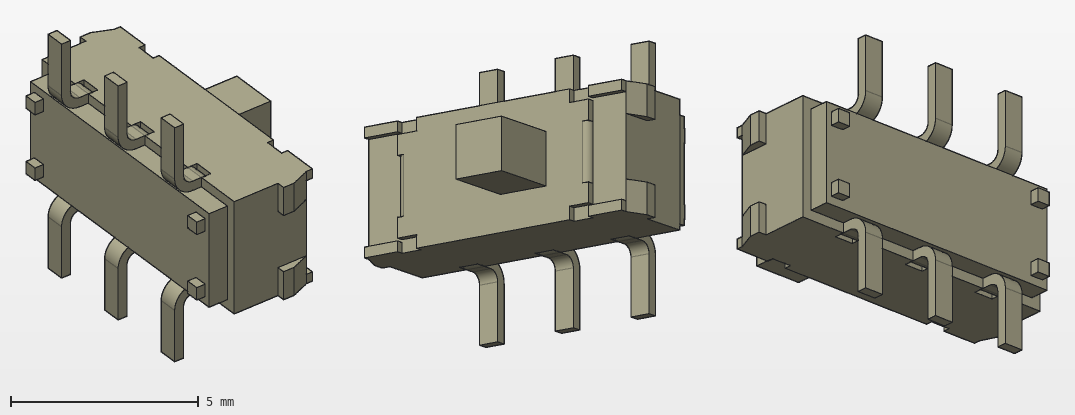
import cadquery as cq
import math


body_length = 8.5
body_height = 3.6
body_front_y = 0.89
body_back_y = 3.5
lip_thickness = 0.2
deck_y = body_back_y - lip_thickness

cover_length = 7.9
cover_height = 3.0
cover_front_y = 0.28
stud_size = 0.4
stud_pitch_x = 7.15
stud_pitch_z = 2.1

knob_x = -1.0
knob_width = 1.5
knob_reach = 2.0

ear_reach = 0.25
ear_height = 0.9
ear_ramp = 0.6
ear_flat = 0.35

tab_inner_z = 1.5
notch_center_x = 2.84
notch_width = 0.62
notch_floor_z = 1.425
rounded_edge_height = 1.7
plateau_length = 2 * notch_center_x + notch_width

lead_pitch = 2.5
lead_count = 3
lead_width = 0.6
lead_thickness = 0.3
lead_span = 7.5
lead_inner_radius = 0.3
lead_outer_radius = lead_inner_radius + lead_thickness
root_radius = 0.31

SIDES = (-1, 1)
COS_45 = math.sqrt(0.5)


def block(size_x, y_start, y_end, size_z, x=0, z=0):
    """Box centred on x and z that spans y_start to y_end."""
    size_y = y_end - y_start
    return cq.Workplane("XY").box(size_x, size_y, size_z).translate((x, y_start + size_y / 2, z))


def make_plateau():
    """Central raised plateau on the back face, rounded at the middle of both ends.

    The rounded middle is set into the housing so its edge can be rounded through the full lip.
    """
    shoulders = block(plateau_length, deck_y, body_back_y, body_height)
    middle = block(plateau_length, deck_y - lip_thickness, body_back_y, rounded_edge_height)
    rounded = middle.faces(">Y").edges("|Z").fillet(lip_thickness)
    return shoulders.cut(middle).union(rounded)


def make_lip():
    """Raised pattern on the back face: plateau, four corner tabs and four edge notches."""
    tab_height = body_height / 2 - tab_inner_z
    tab_length = (body_length - plateau_length) / 2
    notch_depth = body_height / 2 - notch_floor_z
    lip = make_plateau()
    for side_x in SIDES:
        for side_z in SIDES:
            tab_x = side_x * (body_length - tab_length) / 2
            tab_z = side_z * (body_height - tab_height) / 2
            lip = lip.union(block(tab_length, deck_y, body_back_y, tab_height, tab_x, tab_z))
            notch_x = side_x * notch_center_x
            notch_z = side_z * (body_height - notch_depth) / 2
            lip = lip.cut(block(notch_width, deck_y, body_back_y, notch_depth, notch_x, notch_z))
    return lip


def make_ear(side_x, side_z):
    """Snap ear on one end corner: a ramp from the deck down to a square catch."""
    root_x = side_x * body_length / 2
    tip_x = root_x + side_x * ear_reach
    ramp_end_y = deck_y - ear_ramp
    catch_y = ramp_end_y - ear_flat
    profile = [(root_x, deck_y), (tip_x, ramp_end_y), (tip_x, catch_y), (root_x, catch_y)]
    ear = cq.Workplane("XY").polyline(profile).close().extrude(ear_height / 2, both=True)
    return ear.translate((0, 0, side_z * (body_height - ear_height) / 2))


def make_lead(x):
    """Upper lead: straight run out of the housing front, then a bend up to the tip."""
    top_z = body_height / 2
    bottom_z = top_z - lead_thickness
    bend_z = top_z + lead_inner_radius
    inner_mid = lead_outer_radius - lead_inner_radius * COS_45
    outer_mid = lead_outer_radius * (1 - COS_45)
    profile = (
        cq.Workplane("YZ")
        .moveTo(0, lead_span / 2)
        .lineTo(0, bend_z)
        .threePointArc((outer_mid, bottom_z + outer_mid), (lead_outer_radius, bottom_z))
        .lineTo(body_front_y, bottom_z)
        .lineTo(body_front_y, top_z)
        .lineTo(lead_outer_radius, top_z)
        .threePointArc((inner_mid, bend_z - lead_inner_radius * COS_45), (lead_thickness, bend_z))
        .lineTo(lead_thickness, lead_span / 2)
        .close()
    )
    return profile.extrude(lead_width / 2, both=True).translate((x, 0, 0))


def make_pocket(x):
    """Cut behind an upper lead that leaves its root rounded down to a vertical back wall."""
    top_z = body_height / 2
    wall_y = body_front_y + root_radius
    mid_y = body_front_y + root_radius * COS_45
    mid_z = top_z - root_radius * (1 - COS_45)
    profile = (
        cq.Workplane("YZ")
        .moveTo(body_front_y, top_z)
        .threePointArc((mid_y, mid_z), (wall_y, top_z - root_radius))
        .lineTo(wall_y, top_z)
        .close()
    )
    return profile.extrude(lead_width / 2, both=True).translate((x, 0, 0))


def make_housing():
    """Housing with back lip, snap ears, front cover, studs and actuator knob."""
    housing = block(body_length, body_front_y, deck_y, body_height).union(make_lip())
    housing = housing.union(block(cover_length, cover_front_y, body_front_y, cover_height))
    knob_tip_y = body_back_y + knob_reach
    housing = housing.union(block(knob_width, deck_y, knob_tip_y, knob_width, knob_x))
    for side_x in SIDES:
        for side_z in SIDES:
            housing = housing.union(make_ear(side_x, side_z))
            stud_x = side_x * stud_pitch_x / 2
            stud_z = side_z * stud_pitch_z / 2
            housing = housing.union(block(stud_size, 0, cover_front_y, stud_size, stud_x, stud_z))
    return housing


def add_leads(housing):
    """Fit a row of leads, each with its root pocket, on the top and bottom faces."""
    for index in range(lead_count):
        x = (index - (lead_count - 1) / 2) * lead_pitch
        lead = make_lead(x)
        pocket = make_pocket(x)
        housing = housing.cut(pocket).union(lead)
        housing = housing.cut(pocket.mirror("XY")).union(lead.mirror("XY"))
    return housing


result = add_leads(make_housing())